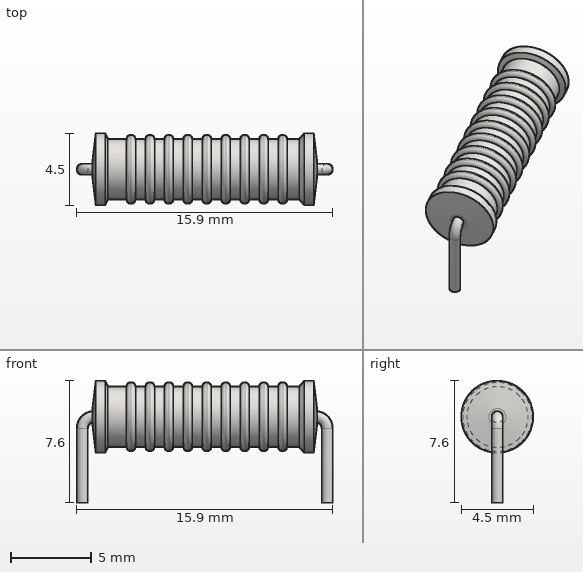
import cadquery as cq

overall_length = 15.94
overall_height = 7.6
flange_diameter = 4.5
core_diameter = 3.8
wire_diameter = 0.7

flange_radius = flange_diameter / 2
core_radius = core_diameter / 2
wire_radius = wire_diameter / 2

face_x = 7.0
face_flat_radius = 0.53
rim_outer_x = 6.79
rim_inner_x = 6.2
left_neck_x = -6.03
right_neck_x = 5.88

ring_count = 9
ring_pitch = 1.18
ring_shift = 0.13
ring_section_radius = 0.29
ring_outer_radius = 2.15
ring_path_radius = ring_outer_radius - ring_section_radius

lead_x = overall_length / 2 - wire_radius
bend_radius = 0.72
lead_bottom_z = flange_radius - overall_height


def make_body():
    """Core and both flanges as one revolved profile."""
    return (
        cq.Workplane("XY")
        .moveTo(-face_x, 0)
        .lineTo(-face_x, face_flat_radius)
        .lineTo(-rim_outer_x, flange_radius)
        .lineTo(-rim_inner_x, flange_radius)
        .lineTo(left_neck_x, core_radius)
        .lineTo(right_neck_x, core_radius)
        .lineTo(rim_inner_x, flange_radius)
        .lineTo(rim_outer_x, flange_radius)
        .lineTo(face_x, face_flat_radius)
        .lineTo(face_x, 0)
        .close()
        .revolve(360, (0, 0, 0), (1, 0, 0))
    )


def make_ring(center_x):
    """Torus around the body axis."""
    return cq.Workplane(
        cq.Solid.makeTorus(
            ring_path_radius, ring_section_radius, cq.Vector(center_x, 0, 0), cq.Vector(1, 0, 0)
        )
    )


def make_lead(side):
    """Wire leaving the flange along X and bending down; side is -1 or 1."""
    bend_start_x = lead_x - bend_radius
    root_x = rim_inner_x
    corner = bend_radius * 0.5 ** 0.5
    path = (
        cq.Workplane("XZ")
        .moveTo(side * root_x, 0)
        .lineTo(side * bend_start_x, 0)
        .threePointArc(
            (side * (bend_start_x + corner), corner - bend_radius),
            (side * lead_x, -bend_radius),
        )
        .lineTo(side * lead_x, lead_bottom_z)
    )
    return cq.Workplane("YZ", origin=(side * root_x, 0, 0)).circle(wire_radius).sweep(path)


result = make_body()

for index in range(ring_count):
    ring_offset = index - (ring_count - 1) / 2
    result = result.union(make_ring(ring_shift + ring_offset * ring_pitch))

for side in (-1, 1):
    result = result.union(make_lead(side))